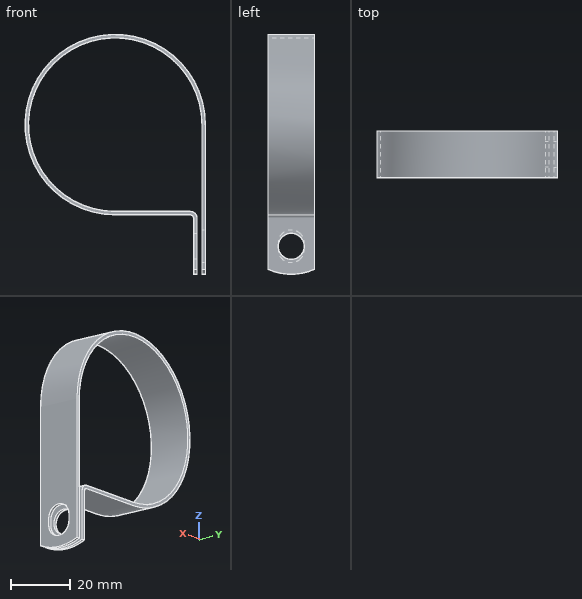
import cadquery as cq
import math

OUTER_DIAMETER = 61.16
STRIP_WIDTH = 15.88
THICKNESS = 1.245
TOTAL_HEIGHT = 81.31
TAB_GAP = 1.56
BEND_INNER_RADIUS = 1.19
HOLE_DIAMETER = 8.73
SLOT_LENGTH = 11.11
HOLE_ABOVE_TIP = 9.525
TIP_RADIUS = 19.05

OUTER_RADIUS = OUTER_DIAMETER / 2
INNER_RADIUS = OUTER_RADIUS - THICKNESS
BEND_OUTER_RADIUS = BEND_INNER_RADIUS + THICKNESS
TIP_Z = OUTER_RADIUS - TOTAL_HEIGHT
HOLE_Z = TIP_Z + HOLE_ABOVE_TIP
SHORT_TAB_INNER_X = INNER_RADIUS - TAB_GAP
SHORT_TAB_OUTER_X = SHORT_TAB_INNER_X - THICKNESS
GAP_MIDDLE_X = INNER_RADIUS - TAB_GAP / 2
BEND_X = SHORT_TAB_INNER_X - BEND_OUTER_RADIUS
BEND_Z = -INNER_RADIUS - BEND_OUTER_RADIUS
DIAGONAL = math.sqrt(0.5)


def strip_body():
    """Bent strip: long tab, three-quarter loop, flat run, bend and short tab."""
    return (
        cq.Workplane("XZ")
        .moveTo(OUTER_RADIUS, TIP_Z)
        .lineTo(OUTER_RADIUS, 0)
        .threePointArc((-OUTER_RADIUS * DIAGONAL, OUTER_RADIUS * DIAGONAL), (0, -OUTER_RADIUS))
        .lineTo(BEND_X, -OUTER_RADIUS)
        .threePointArc(
            (BEND_X + BEND_INNER_RADIUS * DIAGONAL, BEND_Z + BEND_INNER_RADIUS * DIAGONAL),
            (SHORT_TAB_OUTER_X, BEND_Z),
        )
        .lineTo(SHORT_TAB_OUTER_X, TIP_Z)
        .lineTo(SHORT_TAB_INNER_X, TIP_Z)
        .lineTo(SHORT_TAB_INNER_X, BEND_Z)
        .threePointArc(
            (BEND_X + BEND_OUTER_RADIUS * DIAGONAL, BEND_Z + BEND_OUTER_RADIUS * DIAGONAL),
            (BEND_X, -INNER_RADIUS),
        )
        .lineTo(0, -INNER_RADIUS)
        .threePointArc((-INNER_RADIUS * DIAGONAL, INNER_RADIUS * DIAGONAL), (INNER_RADIUS, 0))
        .lineTo(INNER_RADIUS, TIP_Z)
        .close()
        .extrude(STRIP_WIDTH / 2, both=True)
    )


def side_envelope():
    """Strip outline in the YZ plane, with the rounded lower end shared by both tabs."""
    half_width = STRIP_WIDTH / 2
    corner_rise = TIP_RADIUS - math.sqrt(TIP_RADIUS**2 - half_width**2)
    corner_z = TIP_Z + corner_rise
    return (
        cq.Workplane("YZ")
        .moveTo(-half_width, OUTER_RADIUS)
        .lineTo(-half_width, corner_z)
        .threePointArc((0, TIP_Z), (half_width, corner_z))
        .lineTo(half_width, OUTER_RADIUS)
        .close()
        .extrude(OUTER_RADIUS, both=True)
    )


def short_tab_hole():
    """Round cutter along X that stops in the gap behind the short tab."""
    return (
        cq.Workplane("YZ", origin=(0, 0, HOLE_Z))
        .circle(HOLE_DIAMETER / 2)
        .extrude(GAP_MIDDLE_X)
    )


def long_tab_slot():
    """Slot cutter, long in Z, that runs from the gap out through the long tab."""
    return (
        cq.Workplane("YZ", origin=(GAP_MIDDLE_X, 0, HOLE_Z))
        .slot2D(SLOT_LENGTH, HOLE_DIAMETER, angle=90)
        .extrude(OUTER_RADIUS - GAP_MIDDLE_X)
    )


result = strip_body().intersect(side_envelope()).cut(short_tab_hole()).cut(long_tab_slot())